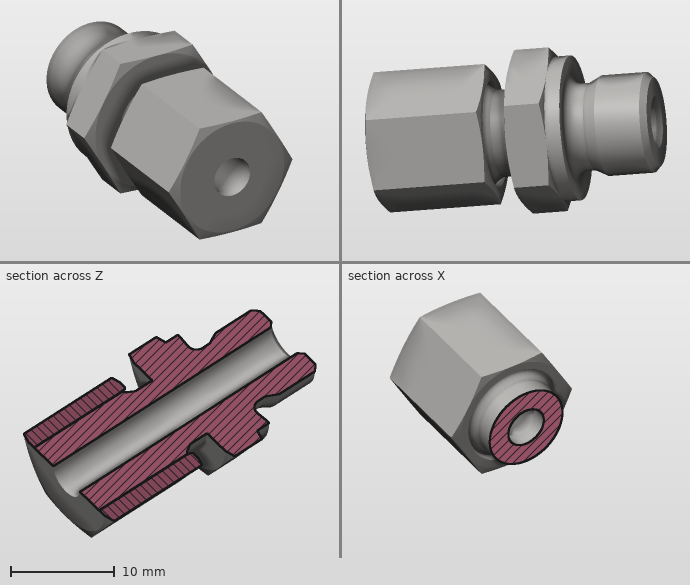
import cadquery as cq
import math


OVERALL_LENGTH = 27.5
THREAD_END_X = 5.05
UNDERCUT_X = 6.3
FILLET_START_X = 7.12
COLLAR_X = 8.0
HEX_START_X = 9.5
HEX_END_X = 13.48
SHANK_CONE_X = 15.5
NUT_X = 16.0

THREAD_RADIUS = 4.87
THREAD_CHAMFER_LENGTH = 0.6
THREAD_CHAMFER_DEPTH = 0.6
UNDERCUT_RADIUS = 4.24
UNDERCUT_FILLET = 1.0
SEALING_RIM_RADIUS = 6.52
NECK_RADIUS = 4.2
SHANK_RADIUS = 5.0
SHANK_CONE_END_RADIUS = 4.68
SHANK_CONE_ANGLE = 30.0
SHANK_SHOULDER_ANGLE = 50.0
BORE_RADIUS = 2.0
BORE_CHAMFER_DEPTH = 0.5
BORE_CHAMFER_LENGTH = 0.5

NUT_MOUTH_RADIUS = 5.17
NUT_MOUTH_ANGLE = 45.0

BODY_ACROSS_FLATS = 14.0
NUT_ACROSS_FLATS = 12.0
HEX_CHAMFER_ANGLE = 15.0
NUT_END_CHAMFER_INSET = 0.2

COLLAR_RADIUS = BODY_ACROSS_FLATS / 2


def revolve_about_x(profile):
    """Revolve a closed (x, radius) profile around the X axis."""
    return profile.close().revolve(360, (0, 0, 0), (1, 0, 0))


def chamfered_hexagon(start_x, end_x, across_flats, start_radius, end_radius):
    """Hexagon along X, corners on +Y and -Y, with its corners turned down at both ends.

    start_radius and end_radius are the radii of the chamfer cones on the end faces.
    """
    corner_radius = across_flats / 2 / math.cos(math.radians(30))
    slope = math.tan(math.radians(HEX_CHAMFER_ANGLE))
    start_chamfer = (corner_radius - start_radius) * slope
    end_chamfer = (corner_radius - end_radius) * slope
    hexagon = (
        cq.Workplane("YZ", origin=(start_x, 0, 0))
        .polygon(6, 2 * corner_radius)
        .extrude(end_x - start_x)
    )
    envelope = revolve_about_x(
        cq.Workplane("XY")
        .moveTo(start_x, 0)
        .lineTo(start_x, start_radius)
        .lineTo(start_x + start_chamfer, corner_radius)
        .lineTo(end_x - end_chamfer, corner_radius)
        .lineTo(end_x, end_radius)
        .lineTo(end_x, 0)
    )
    return hexagon.intersect(envelope)


def screw_in_end():
    """Threaded end, undercut and collar, whose face is dished behind a flat rim."""
    fillet_centre_radius = UNDERCUT_RADIUS + UNDERCUT_FILLET
    rim_dx = COLLAR_X - FILLET_START_X
    rim_dr = SEALING_RIM_RADIUS - fillet_centre_radius
    rim_distance = math.hypot(rim_dx, rim_dr)
    tangent_angle = math.atan2(rim_dr, rim_dx) - math.acos(UNDERCUT_FILLET / rim_distance)
    middle_angle = (tangent_angle - math.pi / 2) / 2

    def on_fillet(angle):
        return (
            FILLET_START_X + UNDERCUT_FILLET * math.cos(angle),
            fillet_centre_radius + UNDERCUT_FILLET * math.sin(angle),
        )

    return revolve_about_x(
        cq.Workplane("XY")
        .moveTo(0, 0)
        .lineTo(0, THREAD_RADIUS - THREAD_CHAMFER_DEPTH)
        .lineTo(THREAD_CHAMFER_LENGTH, THREAD_RADIUS)
        .lineTo(THREAD_END_X, THREAD_RADIUS)
        .lineTo(UNDERCUT_X, UNDERCUT_RADIUS)
        .lineTo(FILLET_START_X, UNDERCUT_RADIUS)
        .threePointArc(on_fillet(middle_angle), on_fillet(tangent_angle))
        .lineTo(COLLAR_X, SEALING_RIM_RADIUS)
        .lineTo(COLLAR_X, COLLAR_RADIUS)
        .lineTo(HEX_START_X, COLLAR_RADIUS)
        .lineTo(HEX_START_X, 0)
    )


def rear_shank():
    """Neck behind the hexagon, flaring in two cones to the shank that fills the nut."""
    cone_slope = math.tan(math.radians(SHANK_CONE_ANGLE))
    shoulder_slope = math.tan(math.radians(SHANK_SHOULDER_ANGLE))
    cone_end_x = SHANK_CONE_X + (SHANK_CONE_END_RADIUS - NECK_RADIUS) / cone_slope
    shoulder_end_x = cone_end_x + (SHANK_RADIUS - SHANK_CONE_END_RADIUS) / shoulder_slope
    return revolve_about_x(
        cq.Workplane("XY")
        .moveTo(HEX_END_X, 0)
        .lineTo(HEX_END_X, NECK_RADIUS)
        .lineTo(SHANK_CONE_X, NECK_RADIUS)
        .lineTo(cone_end_x, SHANK_CONE_END_RADIUS)
        .lineTo(shoulder_end_x, SHANK_RADIUS)
        .lineTo(OVERALL_LENGTH, SHANK_RADIUS)
        .lineTo(OVERALL_LENGTH, 0)
    )


def through_bore():
    """Bore along the whole body, chamfered at the front mouth."""
    return revolve_about_x(
        cq.Workplane("XY")
        .moveTo(0, 0)
        .lineTo(0, BORE_RADIUS + BORE_CHAMFER_DEPTH)
        .lineTo(BORE_CHAMFER_LENGTH, BORE_RADIUS)
        .lineTo(OVERALL_LENGTH, BORE_RADIUS)
        .lineTo(OVERALL_LENGTH, 0)
    )


def make_fitting_body():
    flat_radius = BODY_ACROSS_FLATS / 2
    hexagon = chamfered_hexagon(
        HEX_START_X, HEX_END_X, BODY_ACROSS_FLATS, flat_radius, flat_radius
    )
    return screw_in_end().union(hexagon).union(rear_shank()).cut(through_bore())


def make_nut():
    flat_radius = NUT_ACROSS_FLATS / 2
    hexagon = chamfered_hexagon(
        NUT_X, OVERALL_LENGTH, NUT_ACROSS_FLATS, flat_radius, flat_radius - NUT_END_CHAMFER_INSET
    )
    mouth_depth = (NUT_MOUTH_RADIUS - SHANK_RADIUS) / math.tan(math.radians(NUT_MOUTH_ANGLE))
    shank_hole = revolve_about_x(
        cq.Workplane("XY")
        .moveTo(NUT_X, 0)
        .lineTo(NUT_X, NUT_MOUTH_RADIUS)
        .lineTo(NUT_X + mouth_depth, SHANK_RADIUS)
        .lineTo(OVERALL_LENGTH, SHANK_RADIUS)
        .lineTo(OVERALL_LENGTH, 0)
    )
    return hexagon.cut(shank_hole)


fitting_body = make_fitting_body()
nut = make_nut()
result = cq.Compound.makeCompound([fitting_body.solids().val(), nut.solids().val()])